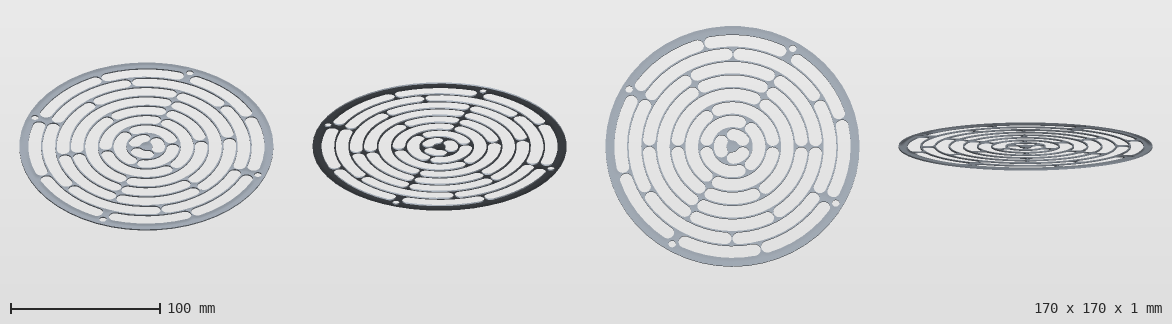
import cadquery as cq
import math

disc_diameter = 170.0
thickness = 1.0

hole_diameter = 5.0
hole_circle_diameter = 160.0
hole_count = 4

slot_width = 8.5
ring_web = 1.0
innermost_ring_diameter = 16.5
narrow_gap = 0.56
screw_gap = 4.8

end_radius = slot_width / 2
ring_pitch = slot_width + ring_web
innermost_middle_radius = innermost_ring_diameter / 2

ring_bridges = [
    [90, 210, 330],
    [30, 150, 270],
    [90, 210, 330],
    [30, 90, 150, 270],
    [90, 210, 270, 330],
    [30, 90, 150, 210, 270, 330],
    [0, 60, 120, 180, 240, 300],
    [0, 45, 90, 135, 180, 225, 270, 315],
]
screw_bridges = [index * 360 / hole_count for index in range(hole_count)]


def polar(radius, angle):
    """Point at a radius and an angle in degrees about the disc centre."""
    return (radius * math.cos(math.radians(angle)), radius * math.sin(math.radians(angle)))


def end_setback(middle_radius, gap):
    """Angle from the middle of a bridge to the centre of the round slot end beside it."""
    return math.degrees(math.asin((end_radius + gap / 2) / middle_radius))


def curved_slot(middle_radius, start, stop):
    """Curved slot cutter whose round ends are centred at the start and stop angles."""
    inner = middle_radius - end_radius
    outer = middle_radius + end_radius
    middle = (start + stop) / 2

    def end_tip(angle, direction):
        x, y = polar(middle_radius, angle)
        along_x, along_y = polar(end_radius, angle + direction * 90)
        return (x + along_x, y + along_y)

    return (
        cq.Workplane("XY")
        .moveTo(*polar(outer, start))
        .threePointArc(polar(outer, middle), polar(outer, stop))
        .threePointArc(end_tip(stop, 1), polar(inner, stop))
        .threePointArc(polar(inner, middle), polar(inner, start))
        .threePointArc(end_tip(start, -1), polar(outer, start))
        .close()
        .extrude(thickness)
    )


def ring_of_slots(middle_radius, bridges, wide_bridges):
    """Slot cutters that fill one ring between its bridges."""
    slots = []
    for index, first in enumerate(bridges):
        following = bridges[(index + 1) % len(bridges)]
        span = (following - first) % 360
        first_gap = screw_gap if first in wide_bridges else narrow_gap
        last_gap = screw_gap if following in wide_bridges else narrow_gap
        start = first + end_setback(middle_radius, first_gap)
        stop = first + span - end_setback(middle_radius, last_gap)
        slots.append(curved_slot(middle_radius, start, stop))
    return slots


disc = cq.Workplane("XY").circle(disc_diameter / 2).extrude(thickness)

screw_holes = (
    cq.Workplane("XY")
    .polarArray(hole_circle_diameter / 2, 0, 360, hole_count)
    .circle(hole_diameter / 2)
    .extrude(thickness)
)

result = disc.cut(screw_holes)
for ring, bridges in enumerate(ring_bridges):
    middle_radius = innermost_middle_radius + ring * ring_pitch
    is_outermost = ring == len(ring_bridges) - 1
    wide_bridges = screw_bridges if is_outermost else []
    for slot in ring_of_slots(middle_radius, bridges, wide_bridges):
        result = result.cut(slot)